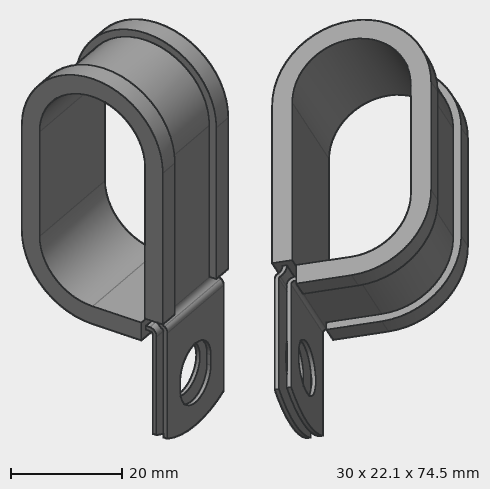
import cadquery as cq

height = 74.5
outer_radius = 15.0
wall = 3.8
cushion_width = 22.1
cushion_bottom = 22.35
long_leg_end = 27.3
short_leg_end = 10.4
upper_center = height - outer_radius
lower_center = cushion_bottom + outer_radius

groove_width = 14.0
groove_depth = 1.5

strap_thickness = 0.8
strap_width = 19.1
strap_embed = 0.75
strap_inset = groove_depth + strap_thickness / 2
strap_x = outer_radius - strap_inset
strap_z = cushion_bottom + strap_inset

outer_tab_x = outer_radius - strap_thickness / 2
tab_gap = 1.5
inner_tab_x = outer_tab_x - strap_thickness - tab_gap
bend_inner_radius = 0.7
bend_radius = bend_inner_radius + strap_thickness / 2
jog_end = 24.7
jog_split = 0.7
tab_corner = 2.15
hole_diameter = 10.3
slot_length = 12.5
hole_z = 11.1


def loop_slab(inset, width):
    """Filled loop outline, square at the lower right, moved inward by inset."""
    radius = outer_radius - inset
    return (
        cq.Workplane("XZ")
        .moveTo(radius, lower_center - radius)
        .lineTo(radius, upper_center)
        .threePointArc((0, upper_center + radius), (-radius, upper_center))
        .lineTo(-radius, lower_center)
        .radiusArc((0, lower_center - radius), -radius)
        .close()
        .extrude(width / 2, both=True)
    )


def make_cushion():
    groove = loop_slab(0, groove_width).cut(loop_slab(groove_depth, groove_width))
    corner_opening = cq.Workplane("XY").box(
        outer_radius - short_leg_end,
        cushion_width,
        long_leg_end - cushion_bottom,
        centered=(False, True, False),
    ).translate((short_leg_end, 0, cushion_bottom))
    return (
        loop_slab(0, cushion_width)
        .cut(loop_slab(wall, cushion_width))
        .cut(groove)
        .cut(corner_opening)
    )


def make_outer_tab():
    """Strap leaving the vertical leg and jogging out to the +X face."""
    start_z = long_leg_end + strap_embed
    jog_middle = (
        strap_x + jog_split * (outer_tab_x - strap_x),
        long_leg_end + jog_split * (jog_end - long_leg_end),
    )
    path = (
        cq.Workplane("XZ")
        .moveTo(strap_x, start_z)
        .lineTo(strap_x, long_leg_end)
        .tangentArcPoint(jog_middle, relative=False)
        .tangentArcPoint((outer_tab_x, jog_end), relative=False)
        .lineTo(outer_tab_x, 0)
    )
    section = cq.Workplane("XY", origin=(strap_x, 0, start_z)).rect(strap_thickness, strap_width)
    return section.sweep(path)


def make_inner_tab():
    """Strap leaving the bottom leg and bending down a quarter turn."""
    start_x = short_leg_end - strap_embed
    path = (
        cq.Workplane("XZ")
        .moveTo(start_x, strap_z)
        .lineTo(inner_tab_x - bend_radius, strap_z)
        .tangentArcPoint((inner_tab_x, strap_z - bend_radius), relative=False)
        .lineTo(inner_tab_x, 0)
    )
    section = cq.Workplane("YZ", origin=(start_x, 0, strap_z)).rect(strap_width, strap_thickness)
    return section.sweep(path)


def make_tab_outline():
    """Block with a rounded lower tip and a bolt hole, used to trim the tabs."""
    half_width = strap_width / 2
    return (
        cq.Workplane("YZ")
        .moveTo(-half_width, height)
        .lineTo(-half_width, tab_corner)
        .threePointArc((0, 0), (half_width, tab_corner))
        .lineTo(half_width, height)
        .close()
        .moveTo(0, hole_z)
        .circle(hole_diameter / 2)
        .extrude(outer_radius)
    )


def make_slot():
    """Lengthens the bolt hole of the outer tab, clear of the inner tab."""
    return (
        cq.Workplane("YZ", origin=(outer_tab_x - strap_thickness, 0, hole_z))
        .slot2D(slot_length, hole_diameter, 90)
        .extrude(2 * strap_thickness)
    )


tabs = make_outer_tab().union(make_inner_tab()).intersect(make_tab_outline())
result = make_cushion().union(tabs).cut(make_slot())